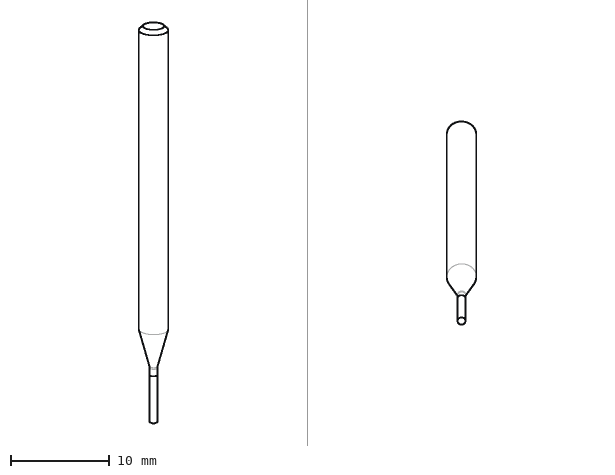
import cadquery as cq

total_length = 43.0
shank_diameter = 3.0
shank_chamfer = 0.45
taper_top = 10.25
taper_bottom = 6.25
collar_bottom = 6.05
cutter_top = 5.3

cutter_diameter = 0.8
collar_diameter = 0.85
point_height = 0.2

shank_radius = shank_diameter / 2
collar_radius = collar_diameter / 2
cutter_radius = cutter_diameter / 2
neck_radius = cutter_radius


def revolve_profile(points):
    """Turn a closed (radius, height) outline about the Z axis into a solid."""
    outline = cq.Workplane("XZ").polyline(points).close()
    return outline.revolve(360, (0, 0, 0), (0, 1, 0))


def make_shank():
    """Chamfered shank with its long taper, short conical collar and straight neck."""
    return revolve_profile([
        (0, cutter_top),
        (neck_radius, cutter_top),
        (neck_radius, collar_bottom),
        (collar_radius, taper_bottom),
        (shank_radius, taper_top),
        (shank_radius, total_length - shank_chamfer),
        (shank_radius - shank_chamfer, total_length),
        (0, total_length),
    ])


def make_cutter():
    """Plain cylindrical cutter with a conical point, butted against the neck."""
    return revolve_profile([
        (0, 0),
        (cutter_radius, point_height),
        (cutter_radius, cutter_top),
        (0, cutter_top),
    ])


shank = make_shank()
cutter = make_cutter()

result = cq.Compound.makeCompound([shank.val(), cutter.val()])